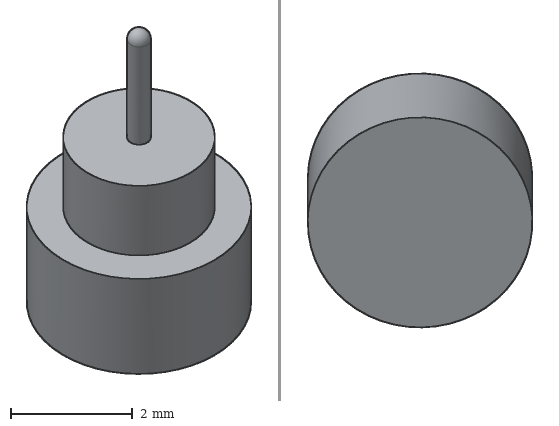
import cadquery as cq

total_height = 5.85
base_diameter = 3.7
base_height = 2.05
collar_diameter = 2.5
collar_height = 1.5
pin_diameter = 0.4

pin_radius = pin_diameter / 2
pin_height = total_height - base_height - collar_height


def make_body():
    """Round base with a narrower concentric collar on top."""
    base = cq.Workplane("XY").circle(base_diameter / 2).extrude(base_height)
    return base.faces(">Z").workplane().circle(collar_diameter / 2).extrude(collar_height)


def add_pin(body):
    """Central pin rising from the collar, ending in a hemispherical tip."""
    shank_height = pin_height - pin_radius
    shank = body.faces(">Z").workplane().circle(pin_radius).extrude(shank_height)
    tip_center_height = total_height - pin_radius
    tip = cq.Workplane("XY").sphere(pin_radius).translate((0, 0, tip_center_height))
    return shank.union(tip)


result = add_pin(make_body())